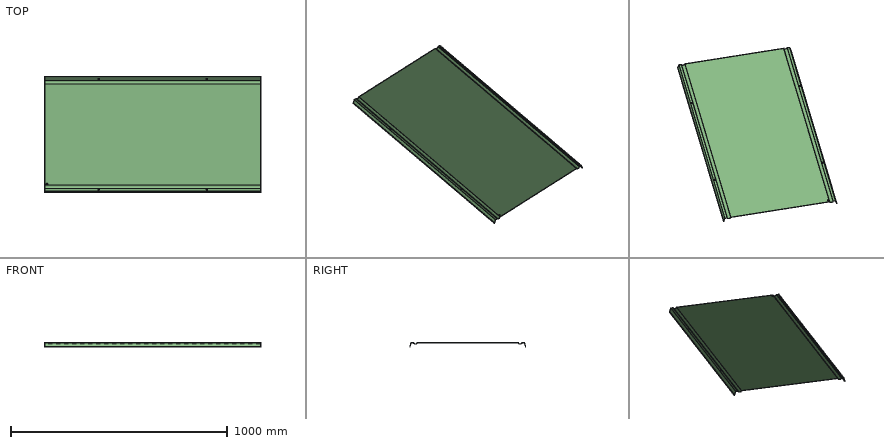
import cadquery as cq
import math

length = 1000.0
width = 536.0
height = 21.0

sheet = 1.0
flange_lean = 6.0
foot_height = 3.0
bend_radius = 1.0

groove_width = 16.0
groove_depth = 6.0
groove_inset = 26.0

hole_diameter = 6.0
hole_inset = 14.0
hole_spacing = length / 2

corner_hole_end_inset = 11.0
corner_hole_side_inset = 39.0

half_width = width / 2
top_edge = half_width - flange_lean
groove_center = half_width - groove_inset
hole_y = half_width - hole_inset


def flanged_sheet():
    """Flat sheet with both long edges folded down and leaning outward."""
    lean_height = height - foot_height
    wall_run = sheet * math.hypot(flange_lean, lean_height) / lean_height
    inner_foot = half_width - wall_run
    inner_edge = top_edge - wall_run + flange_lean * sheet / lean_height
    profile = [
        (-half_width, 0),
        (-half_width, foot_height),
        (-top_edge, height),
        (top_edge, height),
        (half_width, foot_height),
        (half_width, 0),
        (inner_foot, 0),
        (inner_foot, foot_height),
        (inner_edge, height - sheet),
        (-inner_edge, height - sheet),
        (-inner_foot, foot_height),
        (-inner_foot, 0),
    ]
    body = cq.Workplane("YZ").polyline(profile).close().extrude(length / 2, both=True)
    outer_bends = body.edges("|X and >Z")
    return outer_bends.fillet(bend_radius)


def groove_trough(center, half_opening, depth, top):
    """Full-length solid under a circular arc, bounded above by a flat at top."""
    return (
        cq.Workplane("YZ")
        .moveTo(center - half_opening, top)
        .threePointArc((center, top - depth), (center + half_opening, top))
        .close()
        .extrude(length / 2, both=True)
    )


result = flanged_sheet()

for side in (-1, 1):
    center = side * groove_center
    half_opening = groove_width / 2
    skin = groove_trough(center, half_opening + sheet, groove_depth + sheet, height)
    trough = groove_trough(center, half_opening, groove_depth, height)
    result = result.union(skin).cut(trough)

holes = (
    cq.Workplane("XY")
    .rarray(hole_spacing, 2 * hole_y, 2, 2)
    .circle(hole_diameter / 2)
    .extrude(2 * height)
)
result = result.cut(holes)

corner_hole = (
    cq.Workplane("XY")
    .center(corner_hole_end_inset - length / 2, corner_hole_side_inset - half_width)
    .circle(hole_diameter / 2)
    .extrude(2 * height)
)
result = result.cut(corner_hole)